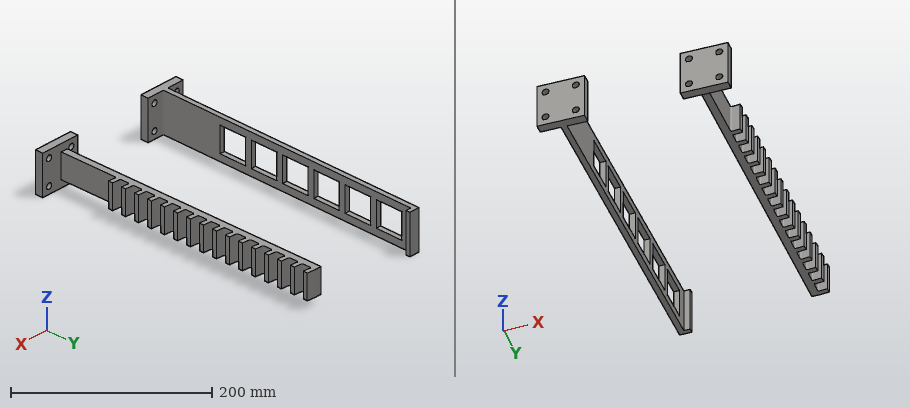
import cadquery as cq
import math

overall_width = 202.0
overall_length = 355.0
plate_width = 50.5
plate_height = 51.0
plate_thickness = 10.0
hole_spacing = 32.0
hole_diameter = 7.0

front_y = -overall_length / 2
plate_back_y = front_y + plate_thickness
arm_x = (overall_width - plate_width) / 2

hooked_arm_thickness = 6.5
hook_reach = 13.0
hook_thickness = 5.5
junction_fillet = 1.0
window_count = 6
window_length = 34.8
window_height = 32.5
window_pitch = 43.0
window_end_margin = 17.8

toothed_arm_length = 344.5
toothed_arm_thickness = 8.5
toothed_arm_height = 32.0
toothed_arm_lean = 0.8
toothed_arm_offset = -10.0
tooth_count = 16
tooth_pitch = 17.6
tooth_thickness = 5.7
tooth_reach = 10.5
tooth_droop = 5.4
tooth_root_fillet = 1.5


def mounting_plate(center_x):
    plate = cq.Workplane("XY").box(plate_width, plate_thickness, plate_height)
    plate = (
        plate.faces("<Y").workplane()
        .rect(hole_spacing, hole_spacing, forConstruction=True).vertices()
        .hole(hole_diameter)
    )
    return plate.translate((center_x, front_y + plate_thickness / 2, 0))


def hooked_arm():
    outer_x = -arm_x - hooked_arm_thickness / 2
    inner_x = outer_x + hooked_arm_thickness
    end_y = front_y + overall_length
    profile = (
        cq.Workplane("XY")
        .moveTo(outer_x, plate_back_y)
        .lineTo(outer_x, end_y)
        .lineTo(outer_x + hook_reach, end_y)
        .lineTo(outer_x + hook_reach, end_y - hook_thickness)
        .lineTo(inner_x, end_y - hook_thickness)
        .lineTo(inner_x, plate_back_y)
        .close()
    )
    arm = profile.extrude(plate_height / 2, both=True)

    first_window_y = end_y - window_end_margin - window_length / 2
    for index in range(window_count):
        window = cq.Workplane("XY").box(2 * hooked_arm_thickness, window_length, window_height)
        arm = arm.cut(window.translate((-arm_x, first_window_y - index * window_pitch, 0)))

    bracket = mounting_plate(-arm_x).union(arm)
    junction = cq.selectors.BoxSelector(
        (outer_x - junction_fillet, plate_back_y - junction_fillet, -plate_height),
        (inner_x + junction_fillet, plate_back_y + junction_fillet, plate_height),
    )
    return bracket.edges("|Z").edges(junction).fillet(junction_fillet)


def tooth_outline():
    """Corners of one tooth, the first at its far root on the arm's inner face."""
    droop = math.radians(tooth_droop)
    tip_x = tooth_reach * math.cos(droop)
    tip_drop = tooth_reach * math.sin(droop)
    tip_shift = tooth_thickness * math.sin(droop)
    return [
        (0, 0),
        (tip_x, -tip_drop),
        (tip_x - tip_shift, -tip_drop - tooth_thickness * math.cos(droop)),
        (0, -tooth_thickness / math.cos(droop)),
    ]


def toothed_arm():
    overlap = plate_thickness / 2
    outline = [
        (0, -overlap),
        (0, toothed_arm_length),
    ]
    for index in range(tooth_count):
        root_y = toothed_arm_length - index * tooth_pitch
        outline += [(toothed_arm_thickness + x, root_y + y) for x, y in tooth_outline()]
    outline.append((toothed_arm_thickness, -overlap))
    arm = cq.Workplane("XY").polyline(outline).close().extrude(toothed_arm_height / 2, both=True)

    last_root_y = toothed_arm_length - tooth_count * tooth_pitch
    roots = cq.selectors.BoxSelector(
        (toothed_arm_thickness / 2, last_root_y, -toothed_arm_height),
        (toothed_arm_thickness + tooth_root_fillet, toothed_arm_length - tooth_thickness / 2, toothed_arm_height),
    )
    arm = arm.edges("|Z").edges(roots).fillet(tooth_root_fillet)

    arm = arm.rotate((0, 0, 0), (0, 0, 1), toothed_arm_lean)
    arm = arm.translate((arm_x + toothed_arm_offset, plate_back_y, 0))
    return mounting_plate(arm_x).union(arm)


hooked_bracket = hooked_arm()
toothed_bracket = toothed_arm()

result = cq.Compound.makeCompound([hooked_bracket.val(), toothed_bracket.val()])